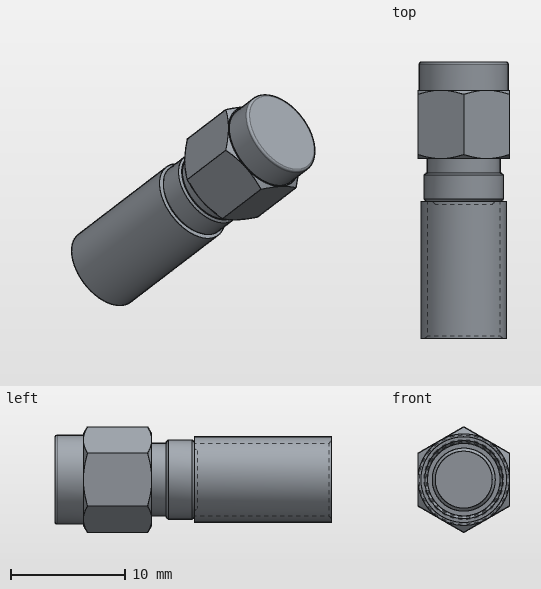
import cadquery as cq
import math

LENGTH = 24.2

TUBE_LENGTH = 12.0
TUBE_RADIUS = 3.75
BORE_RADIUS = 3.17
MOUTH_CHAMFER = 0.25

BOSS_BASE_RADIUS = 2.75
BOSS_TAPER = 0.27

COLLAR_RADIUS = 3.48
COLLAR_END = 14.47
COLLAR_CHAMFER = 0.2
NECK_RADIUS = 3.2

ACROSS_FLATS = 8.0
HEX_START = 15.73
HEX_END = 21.7
HEX_CHAMFER_ANGLE = 30.0

SLEEVE_RADIUS = 3.9
SLEEVE_FILLET = 0.22


def cylinder(radius, start, end):
    """Solid cylinder along Y between two stations."""
    axis_start = cq.Vector(0, start, 0)
    return cq.Workplane(cq.Solid.makeCylinder(radius, end - start, axis_start, cq.Vector(0, 1, 0)))


def revolved(outline):
    """Turn a closed (radius, Y) outline about the Y axis."""
    return cq.Workplane("XY").polyline(outline).close().revolve(360, (0, 0, 0), (0, 1, 0))


def crimp_tube():
    """Tube with a chamfered mouth and a tapered boss on its floor."""
    bore = revolved([
        (0, 0),
        (BORE_RADIUS + MOUTH_CHAMFER, 0),
        (BORE_RADIUS, MOUTH_CHAMFER),
        (BORE_RADIUS, TUBE_LENGTH),
        (BOSS_BASE_RADIUS, TUBE_LENGTH),
        (BOSS_BASE_RADIUS - BOSS_TAPER, TUBE_LENGTH - BOSS_TAPER),
        (0, TUBE_LENGTH - BOSS_TAPER),
    ])
    return cylinder(TUBE_RADIUS, 0, TUBE_LENGTH).cut(bore)


def collar():
    """Round collar, chamfered at both ends."""
    return cylinder(COLLAR_RADIUS, TUBE_LENGTH, COLLAR_END).edges("%CIRCLE").chamfer(COLLAR_CHAMFER)


def hex_nut():
    """Hexagon with flats facing +X and -X and corners turned off at both ends."""
    flat_radius = ACROSS_FLATS / 2
    corner_radius = flat_radius / math.cos(math.radians(30))
    chamfer_length = (corner_radius - flat_radius) * math.tan(math.radians(HEX_CHAMFER_ANGLE))
    corners = [
        (
            corner_radius * math.sin(math.radians(60 * i)),
            corner_radius * math.cos(math.radians(60 * i)),
        )
        for i in range(6)
    ]
    prism = (
        cq.Workplane("XZ", origin=(0, HEX_END, 0))
        .polyline(corners).close()
        .extrude(HEX_END - HEX_START)
    )
    turned_envelope = revolved([
        (0, HEX_START),
        (flat_radius, HEX_START),
        (corner_radius, HEX_START + chamfer_length),
        (corner_radius, HEX_END - chamfer_length),
        (flat_radius, HEX_END),
        (0, HEX_END),
    ])
    return prism.intersect(turned_envelope)


def sleeve():
    """Front sleeve with a rounded rim at its free end."""
    return cylinder(SLEEVE_RADIUS, HEX_END, LENGTH).faces(">Y").edges().fillet(SLEEVE_FILLET)


neck = cylinder(NECK_RADIUS, COLLAR_END, HEX_START)
result = crimp_tube().union(collar()).union(neck).union(hex_nut()).union(sleeve())